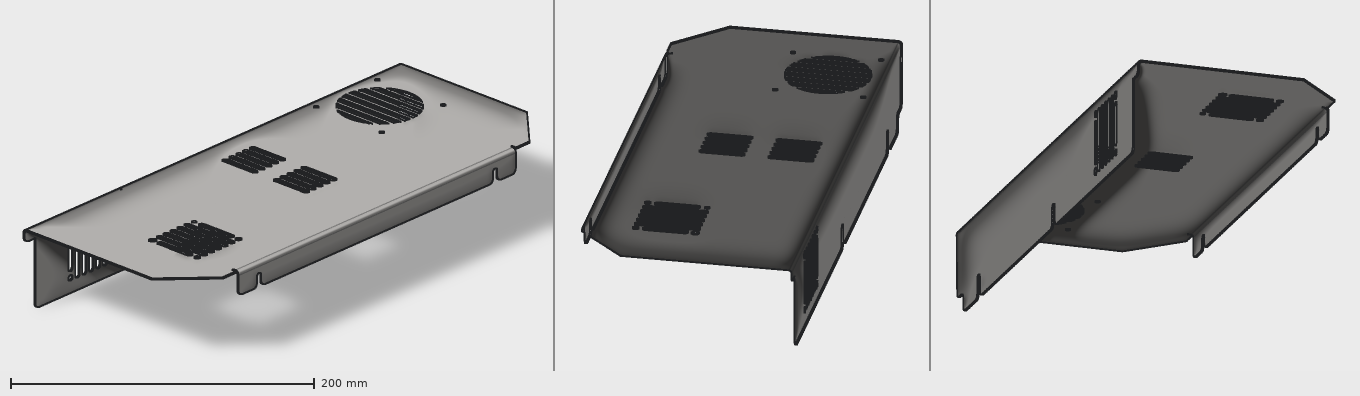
import cadquery as cq
width = 150.0
length = 363.0
height = 61.0
thickness = 1.2
bend_radius = 3.0
inner_bend_radius = bend_radius - thickness

left = -width / 2
right = width / 2
back = length / 2
front = -length / 2
top = height / 2
bottom = -height / 2

tab_setback = 1.0
corner_chamfer = 33.0
plate_right = right - tab_setback

short_flange_depth = 18.0
short_flange_length = 268.5
short_flange_corner_radius = 4.0
relief_width = 1.0
relief_depth = 4.5
short_flange_end = short_flange_length / 2

back_step_length = 13.3
back_step_height = 13.5
back_step_outer_radius = 3.0
back_step_inner_radius = 4.0
front_step_length = 10.5
lip_height = 10.0
lip_radius = 4.0
foot_radius = 3.5
flange_back_taper = 1.2

tall_notch_width = 5.5
short_notch_width = 4.2
tall_notch_height = 16.0
short_notch_height = 10.0
notch_mouth_radius = 3.5
tall_flange_notches = (137.6, -12.3)
short_flange_notch_offset = 114.2

fan_x = left + 38.0
fan_y = 122.5
fan_diameter = 57.5
fan_hole_pitch = 59.3
fan_hole_diameter = 3.24
fan_bar_count = 7
fan_bar_pitch = 7.5
fan_bar_width = 3.0

slot_width = 4.2
short_slot_length = 30.5
vent_hole_pitch = 40.0
vent_slot_count = 7
slot_pitch = vent_hole_pitch / (vent_slot_count - 1)
long_slot_length = vent_hole_pitch + slot_width
top_vent_x = 20.0
top_vent_y = -116.7
side_vent_y = -117.0
side_vent_z = top - 30.0
small_hole = 3.24
medium_hole = 4.2
large_hole = 5.2

louvre_y = 2.7
louvre_centres = (-38.9, 7.4)
louvre_count = 5


def bent_flange(outer_x, inward, end_z, flange_length):
    """Flange hanging from the plate with its bend, centred on Y.

    inward is +1 or -1, the direction along X from the outer face to the plate.
    """
    bend_x = outer_x + inward * bend_radius
    inner_x = outer_x + inward * thickness
    bend_z = top - bend_radius
    profile = (
        cq.Workplane("XZ", origin=(0, flange_length / 2, 0))
        .moveTo(outer_x, end_z)
        .lineTo(outer_x, bend_z)
        .radiusArc((bend_x, top), inward * bend_radius)
        .lineTo(bend_x, top - thickness)
        .radiusArc((inner_x, bend_z), -inward * inner_bend_radius)
        .lineTo(inner_x, end_z)
        .close()
    )
    return profile.extrude(flange_length)


def top_plate():
    """Flat plate with chamfered right corners and slits freeing the short flange."""
    bend_x = right - bend_radius
    relief_x = right - relief_depth
    relief_end = short_flange_end + relief_width
    chamfer_end = back - corner_chamfer
    chamfer_start = plate_right - corner_chamfer
    back_half = [
        (left + bend_radius, back),
        (chamfer_start, back),
        (plate_right, chamfer_end),
        (plate_right, relief_end),
        (relief_x, relief_end),
        (relief_x, short_flange_end),
        (bend_x, short_flange_end),
    ]
    front_half = [(x, -y) for x, y in reversed(back_half)]
    plate = cq.Workplane("XY", origin=(0, 0, top - thickness)).polyline(back_half + front_half)
    return plate.close().extrude(thickness)


def tall_flange_blank():
    """Block with the outline of the tall flange in the YZ plane."""
    step_top = bottom + back_step_height
    step_end = back - back_step_length
    front_end = front + front_step_length
    lip_bottom = top - lip_height
    blank = (
        cq.Workplane("YZ", origin=(left, 0, 0))
        .moveTo(front, top)
        .lineTo(back, top)
        .lineTo(back, top - bend_radius)
        .lineTo(back - flange_back_taper, step_top)
        .lineTo(step_end, step_top)
        .lineTo(step_end, bottom)
        .lineTo(front_end, bottom)
        .lineTo(front_end, lip_bottom)
        .lineTo(front, lip_bottom)
        .close()
        .extrude(bend_radius)
    )
    for y, z, radius in (
        (back - flange_back_taper, step_top, back_step_outer_radius),
        (step_end, step_top, back_step_inner_radius),
        (step_end, bottom, foot_radius),
        (front_end, bottom, foot_radius),
        (front, lip_bottom, lip_radius),
    ):
        corner = cq.selectors.NearestToPointSelector((left + bend_radius / 2, y, z))
        blank = blank.edges("|X").edges(corner).fillet(radius)
    return blank


def notch(x, y, edge_z, notch_width, notch_height):
    """Round-ended notch with a rounded mouth, open at the lower edge of a flange."""
    half = notch_width / 2
    crown = edge_z + notch_height
    return (
        cq.Workplane("YZ", origin=(x, 0, 0))
        .moveTo(y - half - notch_mouth_radius, edge_z)
        .radiusArc((y - half, edge_z + notch_mouth_radius), -notch_mouth_radius)
        .lineTo(y - half, crown - half)
        .radiusArc((y + half, crown - half), half)
        .lineTo(y + half, edge_z + notch_mouth_radius)
        .radiusArc((y + half + notch_mouth_radius, edge_z), -notch_mouth_radius)
        .close()
        .extrude(thickness)
    )


def tall_flange():
    """Left-hand flange with its stepped ends and notched lower edge."""
    flange = bent_flange(left, 1, bottom, length).intersect(tall_flange_blank())
    for y in tall_flange_notches:
        flange = flange.cut(notch(left, y, bottom, tall_notch_width, tall_notch_height))
    return flange


def short_flange():
    """Right-hand flange with rounded lower corners and notched lower edge."""
    end_z = top - short_flange_depth
    middle_x = right - thickness / 2
    flange = bent_flange(right, -1, end_z, short_flange_length)
    for side in (1, -1):
        corner = cq.selectors.NearestToPointSelector((middle_x, side * short_flange_end, end_z))
        flange = flange.edges("|X").edges(corner).fillet(short_flange_corner_radius)
        y = side * short_flange_notch_offset
        flange = flange.cut(notch(right - thickness, y, end_z, short_notch_width, short_notch_height))
    return flange


def fan_grille():
    """Round opening crossed by bars, with four screw holes around it."""
    face = cq.Workplane("XY", origin=(fan_x, fan_y, top - thickness))
    opening = face.circle(fan_diameter / 2).extrude(thickness)
    bar_places = face.rarray(1, fan_bar_pitch, 1, fan_bar_count)
    bars = bar_places.rect(fan_diameter, fan_bar_width).extrude(thickness)
    screw_places = face.rarray(fan_hole_pitch, fan_hole_pitch, 2, 2)
    screws = screw_places.circle(fan_hole_diameter / 2).extrude(thickness)
    return opening.cut(bars).union(screws)


def slot_row(face, pitch, count, slot_length):
    """Parallel slots along local x, spaced along local y."""
    places = face.rarray(1, pitch, 1, count)
    return places.slot2D(slot_length, slot_width).extrude(thickness)


def vent(face, holes):
    """Square vent: slots along local x, short at both ends to clear corner holes.

    holes maps a (sign of x, sign of y) corner to its hole diameter.
    """
    long_slots = slot_row(face, slot_pitch, vent_slot_count - 2, long_slot_length)
    short_slots = slot_row(face, vent_hole_pitch, 2, short_slot_length)
    cutter = long_slots.union(short_slots)
    half_pitch = vent_hole_pitch / 2
    for (side_x, side_y), diameter in holes.items():
        hole = face.center(side_x * half_pitch, side_y * half_pitch).circle(diameter / 2)
        cutter = cutter.union(hole.extrude(thickness))
    return cutter


def top_vent():
    """Vent in the top plate, near its front end."""
    face = cq.Workplane("XY", origin=(top_vent_x, top_vent_y, top - thickness))
    holes = {(-1, 1): small_hole, (1, 1): medium_hole, (-1, -1): large_hole, (1, -1): medium_hole}
    return vent(face, holes)


def side_vent():
    """Vent in the tall flange; local x runs down the flange, local y along +Y."""
    plane = cq.Plane(origin=(left, side_vent_y, side_vent_z), xDir=(0, 0, -1), normal=(1, 0, 0))
    holes = {(-1, 1): medium_hole, (-1, -1): large_hole, (1, 1): large_hole, (1, -1): medium_hole}
    return vent(cq.Workplane(plane), holes)


def louvres(x):
    """Group of plain slots in the middle of the top plate."""
    face = cq.Workplane("XY", origin=(x, louvre_y, top - thickness))
    return slot_row(face, slot_pitch, louvre_count, short_slot_length)


result = top_plate().union(tall_flange()).union(short_flange())
result = result.cut(fan_grille()).cut(top_vent()).cut(side_vent())
for louvre_x in louvre_centres:
    result = result.cut(louvres(louvre_x))